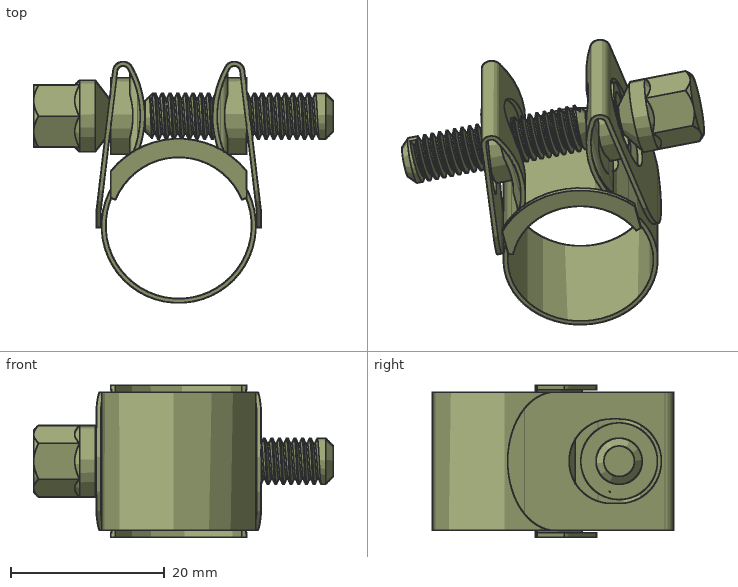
import cadquery as cq
import math

bolt_y = 14.27
sheet = 0.6

band_half_width = 9.0
ring_outer = 10.05
ring_inner = ring_outer - sheet
leg_inner_radius = 12.6
leg_outer_radius = leg_inner_radius + sheet
loop_outer = 1.33
loop_inner = loop_outer - sheet
loop_top = 21.37
leg_bend_x = -10.72
leg_bend_y = 1.95
leg_tip_y = -0.25
tip_length = 6.2
slot_radius = 5.5
slot_travel = 1.0

bridge_half_height = 9.9
bridge_flange = 0.62
bridge_bore = ring_inner - sheet
bridge_flange_radius = 11.35
bridge_half_width = 8.85
bridge_end_slope = 0.4
bridge_end_x = 8.23

boss_face_x = -8.85
boss_radius = 5.0
pad_back_x = -6.35
pad_half_height = 8.6
pad_round = 0.95
groove_half_width = 2.8
groove_depth = 0.4
clearance_radius = 3.7

bolt_start_x = -18.88
bolt_length = 39.0
bolt_end_x = bolt_start_x + bolt_length
head_radius = 4.68
hex_flat_radius = head_radius * math.cos(math.pi / 6)
collar_back_x = bolt_start_x + 5.95
collar_front_x = collar_back_x + 2.03
neck_x = collar_front_x + 2.05
shank_radius = 2.0
thread_start_x = -4.35
thread_radius = 3.0
thread_root = 2.35
first_crest_x = -3.12
thread_turns = 22
pitch = 22.0 / thread_turns
crest_flat = 0.15
root_flat = 0.25

leg_centre_x = -math.sqrt((ring_outer + leg_inner_radius)**2 - bolt_y**2)
leg_foot_angle = math.atan2(-bolt_y, -leg_centre_x)
loop_y = loop_top - loop_outer
loop_rise = loop_y - bolt_y
loop_reach = leg_outer_radius - loop_outer
loop_x = leg_centre_x + math.sqrt(loop_reach**2 - loop_rise**2)
bend_dx = loop_x - leg_bend_x
bend_dy = loop_y - leg_bend_y
leg_lean = math.atan2(bend_dx, bend_dy) - math.asin(loop_outer / math.hypot(bend_dx, bend_dy))
loop_angle = math.atan2(loop_rise, loop_x - leg_centre_x)
leg_tangent_angle = math.pi - leg_lean


def on_circle(x, y, radius, angle):
    """Point of a circle at an angle from +X."""
    return (x + radius * math.cos(angle), y + radius * math.sin(angle))


def slab(half_height, outline):
    """Extrude a closed XY outline symmetrically about Z = 0."""
    return outline.extrude(half_height, both=True)


def make_ring():
    """Open ring, from the foot of one curved leg round the bottom to the foot of the other."""
    foot_angle = leg_foot_angle + math.pi
    outer_x, outer_y = on_circle(0, 0, ring_outer, foot_angle)
    inner_x, inner_y = on_circle(0, 0, ring_inner, foot_angle)
    outline = (
        cq.Workplane("XY")
        .moveTo(outer_x, outer_y)
        .threePointArc((0, -ring_outer), (-outer_x, outer_y))
        .lineTo(-inner_x, inner_y)
        .threePointArc((0, -ring_inner), (inner_x, inner_y))
        .close()
    )
    return slab(band_half_width, outline)


def leg_slot():
    """Cutter along -X for the slot that both left legs share."""
    return (
        cq.Workplane("YZ", origin=(0, bolt_y - slot_travel / 2, 0))
        .slot2D(2 * slot_radius + slot_travel, 2 * slot_radius)
        .extrude(2 * leg_bend_x)
    )


def inner_leg():
    """Left curved leg, rising from the ring, with the loop on top and a slot for the bolt."""
    def leg(radius, angle):
        return on_circle(leg_centre_x, bolt_y, radius, angle)

    def loop(radius, angle):
        return on_circle(loop_x, loop_y, radius, angle)

    outline = (
        cq.Workplane("XY")
        .moveTo(*leg(leg_outer_radius, leg_foot_angle))
        .threePointArc(leg(leg_outer_radius, 0), leg(leg_outer_radius, loop_angle))
        .threePointArc((loop_x, loop_top), loop(loop_outer, leg_tangent_angle))
        .lineTo(*loop(loop_inner, leg_tangent_angle))
        .threePointArc((loop_x, loop_y + loop_inner), loop(loop_inner, loop_angle))
        .threePointArc(leg(leg_inner_radius, 0), leg(leg_inner_radius, leg_foot_angle))
        .close()
    )
    return slab(band_half_width, outline).cut(leg_slot())


def outer_leg():
    """Left outer leg: straight, slightly bent near its half-elliptical end, with a slot for the boss."""
    sheet_outline = (
        cq.Workplane("XY")
        .moveTo(*on_circle(loop_x, loop_y, loop_outer, leg_tangent_angle))
        .lineTo(leg_bend_x, leg_bend_y)
        .lineTo(leg_bend_x, leg_tip_y)
        .lineTo(leg_bend_x + sheet, leg_tip_y)
        .lineTo(leg_bend_x + sheet, leg_bend_y - sheet * math.tan(leg_lean / 2))
        .lineTo(*on_circle(loop_x, loop_y, loop_inner, leg_tangent_angle))
        .close()
    )
    tip_centre_y = leg_tip_y + tip_length
    face = (
        cq.Workplane("YZ")
        .moveTo(tip_centre_y, band_half_width)
        .lineTo(loop_top, band_half_width)
        .lineTo(loop_top, -band_half_width)
        .lineTo(tip_centre_y, -band_half_width)
        .ellipseArc(tip_length, band_half_width, 90, 270, startAtCurrent=True, sense=-1)
        .close()
        .extrude(2 * leg_bend_x)
    )
    return slab(band_half_width, sheet_outline).intersect(face).cut(leg_slot())


def make_band():
    left_side = inner_leg().union(outer_leg())
    return make_ring().union(left_side).union(left_side.mirror("YZ"))


def make_bridge():
    """Arched channel: the web lies inside the ring, the flanges stand past the band edges."""
    def disc(radius, half_height):
        return slab(half_height, cq.Workplane("XY").circle(radius))

    web_half_height = bridge_half_height - bridge_flange
    arch = disc(bridge_flange_radius, bridge_half_height)
    arch = arch.cut(disc(bridge_flange_radius, web_half_height)).union(disc(ring_inner, web_half_height))
    arch = arch.cut(disc(bridge_bore, bridge_half_height))
    end_inner_y = math.sqrt(bridge_bore**2 - bridge_end_x**2)
    end_outer_y = end_inner_y + bridge_end_slope * (bridge_half_width - bridge_end_x)
    envelope = (
        cq.Workplane("XY")
        .polyline([
            (-bridge_end_x, end_inner_y),
            (-bridge_half_width, end_outer_y),
            (-bridge_half_width, bridge_flange_radius),
            (bridge_half_width, bridge_flange_radius),
            (bridge_half_width, end_outer_y),
            (bridge_end_x, end_inner_y),
        ])
        .close()
    )
    return arch.intersect(slab(bridge_half_height, envelope))


def make_trunnion(bore_radius):
    """Left trunnion: its pad fills the hollow of the curved leg, its boss points to -X."""
    chord_half = math.sqrt(leg_inner_radius**2 - (pad_back_x - leg_centre_x)**2)
    lens = (
        cq.Workplane("XY")
        .moveTo(pad_back_x, bolt_y - chord_half)
        .threePointArc((leg_centre_x + leg_inner_radius, bolt_y), (pad_back_x, bolt_y + chord_half))
        .close()
    )
    pad_front_x = leg_centre_x + leg_inner_radius
    side_profile = (
        cq.Workplane("XZ", origin=(0, bolt_y, 0))
        .rect(2 * (pad_front_x - pad_back_x), 2 * pad_half_height)
        .extrude(chord_half, both=True)
        .edges("<X and |Y")
        .fillet(pad_round)
        .translate((pad_front_x, 0, 0))
    )
    pad = slab(pad_half_height, lens).intersect(side_profile)

    groove_radius = (groove_half_width**2 + groove_depth**2) / (2 * groove_depth)
    groove_x = pad_back_x + groove_depth - groove_radius
    groove = slab(pad_half_height, cq.Workplane("XY").center(groove_x, bolt_y).circle(groove_radius))
    axis_plane = cq.Workplane("YZ", origin=(boss_face_x, bolt_y, 0))
    boss = axis_plane.circle(boss_radius).extrude(pad_back_x + groove_depth - boss_face_x)
    bore = axis_plane.circle(bore_radius).extrude(pad_front_x - boss_face_x)
    hollow = slab(pad_half_height, cq.Workplane("XY").center(leg_centre_x, bolt_y).circle(leg_inner_radius))
    return pad.cut(groove).union(boss.intersect(hollow)).cut(bore)


def revolve_profile(points):
    """Revolve (x, radius) points about the bolt axis."""
    return (
        cq.Workplane("XY", origin=(0, bolt_y, 0))
        .polyline(points)
        .close()
        .revolve(360, (0, 0, 0), (1, 0, 0))
    )


def make_head():
    """Hexagon chamfered at both ends, with its corners running into the round collar."""
    corner = head_radius - hex_flat_radius
    hexagon = (
        cq.Workplane("YZ", origin=(bolt_start_x, bolt_y, 0))
        .polygon(6, 2 * head_radius)
        .extrude(collar_back_x - bolt_start_x)
        .rotate((0, bolt_y, 0), (1, bolt_y, 0), 90)
    )
    end_chamfer = revolve_profile([
        (bolt_start_x, 0),
        (bolt_start_x, hex_flat_radius),
        (bolt_start_x + corner, head_radius),
        (collar_back_x, head_radius),
        (collar_back_x, 0),
    ])
    collar = revolve_profile([
        (collar_back_x - corner, 0),
        (collar_back_x - corner, hex_flat_radius),
        (collar_back_x, head_radius),
        (collar_front_x, head_radius),
        (neck_x, shank_radius),
        (neck_x, 0),
    ])
    return hexagon.intersect(end_chamfer).union(collar)


def make_thread():
    """Chamfered rod with a right-hand helical groove."""
    chamfer = thread_radius - shank_radius
    rod = revolve_profile([
        (thread_start_x, 0),
        (thread_start_x, shank_radius),
        (thread_start_x + chamfer, thread_radius),
        (bolt_end_x - chamfer, thread_radius),
        (bolt_end_x, shank_radius),
        (bolt_end_x, 0),
    ])
    clearance = 0.1
    flank = (pitch - crest_flat - root_flat) / 2 / (thread_radius - thread_root)
    top_half = (pitch - crest_flat) / 2 + flank * clearance
    helix = cq.Wire.makeHelix(pitch, thread_turns * pitch, thread_root)
    groove = (
        cq.Workplane("XZ")
        .polyline([
            (thread_root, -root_flat / 2),
            (thread_radius + clearance, -top_half),
            (thread_radius + clearance, top_half),
            (thread_root, root_flat / 2),
        ])
        .close()
        .sweep(cq.Workplane(obj=helix), isFrenet=True)
        .rotate((0, 0, 0), (1, 1, 1), 120)
        .translate((first_crest_x - pitch / 2, bolt_y, 0))
    )
    return rod.cut(groove)


def make_bolt():
    shank = (
        cq.Workplane("YZ", origin=(neck_x, bolt_y, 0))
        .circle(shank_radius)
        .extrude(thread_start_x - neck_x)
    )
    return make_head().union(shank).union(make_thread())


band = make_band()
bridge = make_bridge()
plain_trunnion = make_trunnion(clearance_radius)
threaded_trunnion = make_trunnion(thread_radius).mirror("YZ")
bolt = make_bolt()

result = cq.Compound.makeCompound([
    band.val(),
    bridge.val(),
    plain_trunnion.val(),
    threaded_trunnion.val(),
    bolt.val(),
])